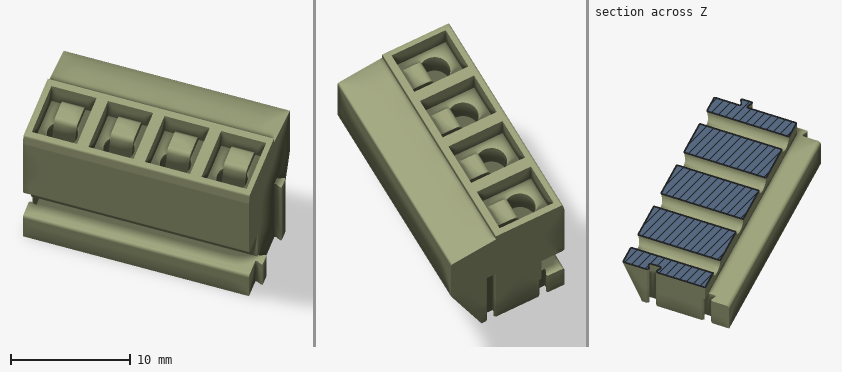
import cadquery as cq
import math


total_length = 20.7
tongue_reach = 0.7
body_length = total_length - tongue_reach
body_depth = 10.8
body_height = 13.5
poles = 4
pitch = body_length / poles
pole_shift = 0.05

back_foot_y = 7.9
back_wall_foot_z = 6.91
step_y = 6.55
step_height = 0.52
roof_angle = 10.0
front_bevel_height = 0.95
front_bevel_angle = 10.0
notch_depth = 2.17
lip_height = 2.77
notch_top_z = 5.75
top_front_round = 0.2
bevel_foot_round = 0.83
roof_back_round = 0.2
notch_round = 0.3

pocket_width = 4.0
pocket_front_y = 0.75
pocket_back_y = 5.9
pocket_depth = 2.0
well_diameter = 2.63
well_y = 2.88
well_depth = 2.25

tab_width = 2.0
tab_rise = 0.6
tab_nose_y = 3.66
tab_round = 0.5
tab_overlap = 0.05

wire_hole_diameter = 1.5
wire_hole_z = 4.2

rear_dovetail_y = 7.0
front_dovetail_y = 2.0
rear_dovetail_top_z = 7.2
dovetail_neck_half = 0.31
dovetail_shoulder_half = 0.48
dovetail_head_half = 0.52
dovetail_neck_length = 0.15
dovetail_flare_length = 0.33
tongue_root_half = 0.35
groove_mouth_half = 0.48

pocket_floor_z = body_height - pocket_depth
well_floor_z = pocket_floor_z - well_depth


def make_housing():
    """Extrude the side outline along X and round its long edges."""
    bevel_setback = front_bevel_height * math.tan(math.radians(front_bevel_angle))
    bevel_foot_z = body_height - front_bevel_height
    roof_top_z = body_height - step_height
    roof_drop = (body_depth - step_y) * math.tan(math.radians(roof_angle))
    roof_back_z = roof_top_z - roof_drop
    outline = [
        (0, 0),
        (back_foot_y, 0),
        (body_depth, back_wall_foot_z),
        (body_depth, roof_back_z),
        (step_y, roof_top_z),
        (step_y, body_height),
        (bevel_setback, body_height),
        (0, bevel_foot_z),
        (0, notch_top_z),
        (notch_depth, notch_top_z),
        (notch_depth, lip_height),
        (0, lip_height),
    ]
    housing = cq.Workplane("YZ").polyline(outline).close().extrude(body_length)

    rounded_edges = [
        (bevel_setback, body_height, top_front_round),
        (0, bevel_foot_z, bevel_foot_round),
        (body_depth, roof_back_z, roof_back_round),
        (0, notch_top_z, notch_round),
        (0, lip_height, notch_round),
    ]
    for y, z, radius in rounded_edges:
        edge_middle = (body_length / 2, y, z)
        housing = housing.edges(cq.selectors.NearestToPointSelector(edge_middle)).fillet(radius)
    return housing


def make_pocket(x):
    """Cutter for one screw pocket with the round well in its floor."""
    pocket = cq.Workplane("XY").box(
        pocket_width, pocket_back_y - pocket_front_y, pocket_depth, centered=(True, False, False)
    ).translate((x, pocket_front_y, pocket_floor_z))
    well = (
        cq.Workplane("XY", origin=(x, well_y, well_floor_z))
        .circle(well_diameter / 2)
        .extrude(well_depth)
    )
    return pocket.union(well)


def make_tab(x):
    """Clamp tab with a rounded nose that slopes down to the middle of the well floor."""
    tab_top_z = pocket_floor_z + tab_rise
    tab_back_y = pocket_back_y + tab_overlap
    outline = [
        (well_y, well_floor_z),
        (tab_back_y, well_floor_z),
        (tab_back_y, tab_top_z),
        (tab_nose_y, tab_top_z),
    ]
    return (
        cq.Workplane("YZ", origin=(x, 0, 0))
        .polyline(outline)
        .close()
        .extrude(tab_width / 2, both=True)
        .faces(">Z")
        .edges("|X")
        .fillet(tab_round)
    )


def make_wire_hole(x):
    """Cutter for one wire hole through the whole depth."""
    return (
        cq.Workplane("XZ", origin=(x, 0, wire_hole_z))
        .circle(wire_hole_diameter / 2)
        .extrude(-body_depth)
    )


def make_dovetail(x, y, height, root_half):
    """Bar with a neck tapering from root_half, a straight flare and a rounded head, mirrored about y."""
    neck_end = dovetail_neck_length
    flare_end = neck_end + dovetail_flare_length
    head_middle = (flare_end + tongue_reach) / 2
    return (
        cq.Workplane("XY", origin=(x, y, 0))
        .moveTo(0, root_half)
        .lineTo(neck_end, dovetail_neck_half)
        .lineTo(flare_end, dovetail_shoulder_half)
        .threePointArc((head_middle, dovetail_head_half), (tongue_reach, dovetail_shoulder_half))
        .lineTo(tongue_reach, -dovetail_shoulder_half)
        .threePointArc((head_middle, -dovetail_head_half), (flare_end, -dovetail_shoulder_half))
        .lineTo(neck_end, -dovetail_neck_half)
        .lineTo(0, -root_half)
        .close()
        .extrude(height)
    )


result = make_housing()

for pole in range(poles):
    pole_x = (pole + 0.5) * pitch + pole_shift
    result = result.cut(make_pocket(pole_x)).union(make_tab(pole_x)).cut(make_wire_hole(pole_x))

for dovetail_y, top_z in [(rear_dovetail_y, rear_dovetail_top_z), (front_dovetail_y, lip_height)]:
    result = result.union(make_dovetail(body_length, dovetail_y, top_z, tongue_root_half))
    result = result.cut(make_dovetail(0, dovetail_y, top_z, groove_mouth_half))